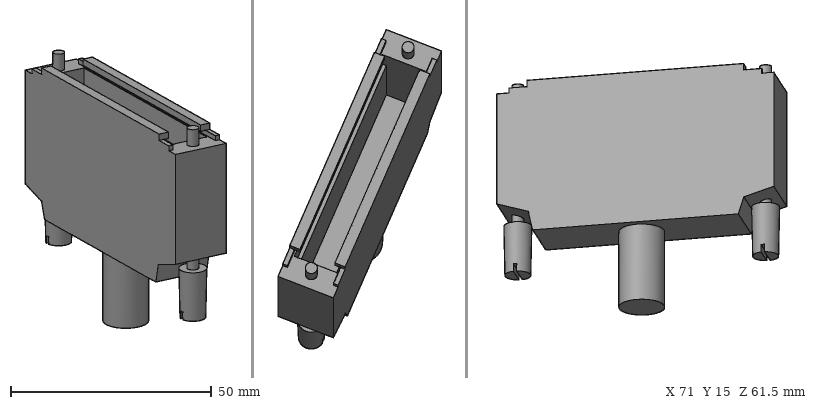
import cadquery as cq

length = 71.0
width = 15.0
body_top = 37.0
left_side_bottom = 6.6
left_knee_x = -27.8
left_knee_z = 4.4
left_foot_x = -26.4
right_side_bottom = 7.7
right_knee_x = 27.4
right_knee_z = 5.05
right_foot_x = 26.3

cavity_length = 57.95
mouth_width = 11.5
mouth_depth = 6.95
deep_width = 9.5
cavity_floor = 8.5

web_length = 64.75
web_thickness = 1.3
web_height = 1.3
rail_length = 55.5
rail_width = 2.8
rail_height = 1.7

cable_diameter = 11.5
cable_length = 20.0

screw_x = 31.75
screw_diameter = 3.0
screw_top = 41.45
knob_top = 4.05
knob_bottom = -9.0
knob_top_diameter = 7.0
knob_bottom_diameter = 6.5
slot_width = 0.85
slot_depth = 2.0


def block(size_x, size_y, bottom, top, center_y=0):
    """Box centred on X, between two heights."""
    box = cq.Workplane("XY").box(size_x, size_y, top - bottom, centered=(True, True, False))
    return box.translate((0, center_y, bottom))


def make_body():
    outline = [
        (-length / 2, body_top),
        (-length / 2, left_side_bottom),
        (left_knee_x, left_knee_z),
        (left_foot_x, 0),
        (right_foot_x, 0),
        (right_knee_x, right_knee_z),
        (length / 2, right_side_bottom),
        (length / 2, body_top),
    ]
    body = cq.Workplane("XZ").polyline(outline).close().extrude(width / 2, both=True)
    mouth = block(cavity_length, mouth_width, body_top - mouth_depth, body_top)
    deep_part = block(cavity_length, deep_width, cavity_floor, body_top)
    return body.cut(mouth).cut(deep_part)


def make_rail(side):
    """Web and overhanging rail on one long edge; side is -1 or 1 along Y."""
    web_top = body_top + web_height
    web_y = side * (width - web_thickness) / 2
    rail_y = side * (width - rail_width) / 2
    web = block(web_length, web_thickness, body_top, web_top, web_y)
    rail = block(rail_length, rail_width, web_top, web_top + rail_height, rail_y)
    return web.union(rail)


def make_screw(x):
    shank = cq.Workplane("XY").workplane(offset=knob_top).circle(screw_diameter / 2)
    shank = shank.extrude(screw_top - knob_top)
    knob = (
        cq.Workplane("XY", origin=(0, 0, knob_bottom))
        .circle(knob_bottom_diameter / 2)
        .workplane(offset=knob_top - knob_bottom)
        .circle(knob_top_diameter / 2)
        .loft()
    )
    slot = block(slot_width, knob_top_diameter, knob_bottom, knob_bottom + slot_depth)
    return shank.union(knob.cut(slot)).translate((x, 0, 0))


result = make_body()
for side in (-1, 1):
    result = result.union(make_rail(side))
    result = result.union(make_screw(side * screw_x))

cable_outlet = cq.Workplane("XY").circle(cable_diameter / 2).extrude(-cable_length)
result = result.union(cable_outlet)